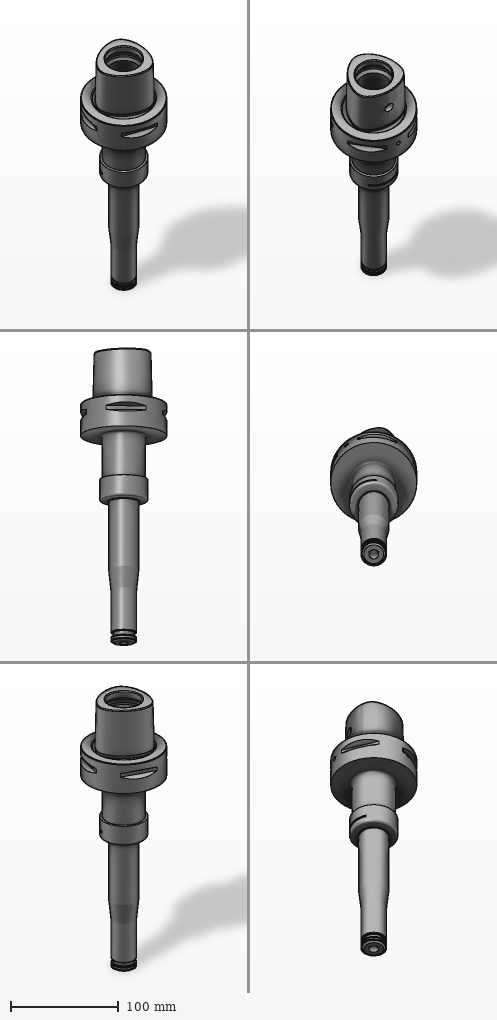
import cadquery as cq
import math

total_height = 275.5
flange_top = 227.5
flange_bottom = 197.5
collar_top = 155.5
collar_bottom = 135.3
cone_top = 70.0
cone_bottom = 50.0
shank_bottom = 9.6
disc_top = 5.8
disc_groove_top = 4.7
disc_groove_bottom = 2.5
disc_bottom = 1.7

flange_radius = 40.0
neck_radius = 40.2 / 2
collar_radius = 45.0 / 2
shaft_radius = 28.0 / 2
shank_radius = 24.0 / 2
tip_neck_radius = 19.5 / 2
tip_end_radius = 18.5 / 2
tip_foot_radius = 21.5 / 2
disc_groove_radius = 23.0 / 2
seat_radius = 29.0 / 2
seat_height = 0.8

small_chamfer = 0.7
neck_fillet = 2.0
collar_fillet = 2.2

recess_radius = 60.5 / 2
recess_depth = 1.0

lobe_height = 1.87
taper_top_radius = 26.5
taper_bottom_radius = 27.5
lobe_half_angle = 25
spline_pieces = 8
taper_bevel_height = 1.0
relief_height = 1.7
relief_inset = 0.4

mouth_radius = 36.6 / 2
bore_radius = 34.7 / 2
mouth_chamfer = mouth_radius - bore_radius
lip_depth = 7.0
groove_radius = 20.7
groove_foot_radius = 19.8
groove_top_depth = lip_depth + groove_radius - bore_radius
groove_wall_end = 13.5
groove_foot_depth = 15.2
groove_end = 16.3
lower_bore_radius = 32.0 / 2
bore_floor = 215.0
counterbore_radius = 19.5 / 2
counterbore_floor = 198.4
through_hole_mouth_radius = 13.0 / 2
through_hole_radius = 9.0 / 2

taper_hole_radius = 9.5 / 2
taper_hole_z = 252.5
taper_flank_distance = (taper_top_radius + taper_bottom_radius) / 2 - lobe_height
gripper_z = 216.0
flange_hole_radius = 4.0 / 2
drill_point_half_angle = 59
taper_hole_depth = 5.5
flange_hole_depth = 2.2

gripper_floor_distance = 70.8 / 2
gripper_floor_width = 3.5
gripper_mouth_width = 8.8
gripper_angles = (45, 135, 225, 315)

mark_z = 143.0
mark_height = 1.7
mark_length = 33.0
mark_depth = 0.3


def turned_body():
    """Flange, neck, collar, shaft and grooved tip as one revolved profile."""
    mid_arc = 1 - math.sqrt(0.5)
    collar_mid = collar_fillet * mid_arc
    neck_mid = neck_fillet * mid_arc
    disc_edge = shank_radius - small_chamfer
    profile = (
        cq.Workplane("XZ")
        .moveTo(0, 0)
        .lineTo(tip_end_radius, 0)
        .lineTo(tip_foot_radius, disc_bottom)
        .lineTo(shank_radius, disc_bottom)
        .lineTo(shank_radius, disc_groove_bottom)
        .lineTo(disc_groove_radius, disc_groove_bottom)
        .lineTo(disc_groove_radius, disc_groove_top)
        .lineTo(shank_radius, disc_groove_top)
        .lineTo(shank_radius, disc_top - small_chamfer)
        .lineTo(disc_edge, disc_top)
        .lineTo(tip_neck_radius, disc_top)
        .lineTo(tip_neck_radius, shank_bottom)
        .lineTo(shank_radius - small_chamfer, shank_bottom)
        .lineTo(shank_radius, shank_bottom + small_chamfer)
        .lineTo(shank_radius, cone_bottom)
        .lineTo(shaft_radius, cone_top)
        .lineTo(shaft_radius, collar_bottom - seat_height)
        .lineTo(seat_radius, collar_bottom - seat_height)
        .lineTo(seat_radius, collar_bottom)
        .lineTo(collar_radius - collar_fillet, collar_bottom)
        .threePointArc(
            (collar_radius - collar_mid, collar_bottom + collar_mid),
            (collar_radius, collar_bottom + collar_fillet),
        )
        .lineTo(collar_radius, collar_top)
        .lineTo(neck_radius, collar_top)
        .lineTo(neck_radius, flange_bottom - neck_fillet)
        .threePointArc(
            (neck_radius + neck_mid, flange_bottom - neck_mid),
            (neck_radius + neck_fillet, flange_bottom),
        )
        .lineTo(flange_radius, flange_bottom)
        .lineTo(flange_radius, flange_top - small_chamfer)
        .lineTo(flange_radius - small_chamfer, flange_top)
        .lineTo(recess_radius, flange_top)
        .lineTo(recess_radius - recess_depth, flange_top - recess_depth)
        .lineTo(0, flange_top - recess_depth)
        .close()
    )
    return profile.revolve(360, (0, 0, 0), (0, 1, 0))


def polygon_point(mean_radius, degrees):
    """Point of the three-lobed curve whose outward normal has this direction."""
    angle = math.radians(degrees)
    support = mean_radius + lobe_height * math.cos(3 * angle)
    slope = -3 * lobe_height * math.sin(3 * angle)
    return (
        support * math.cos(angle) - slope * math.sin(angle),
        support * math.sin(angle) + slope * math.cos(angle),
    )


def polygon_wire(mean_radius, z):
    """Closed three-lobed outline, split where each lobe meets its flanks."""
    edges = []
    for lobe in (0, 120, 240):
        joints = (lobe - lobe_half_angle, lobe + lobe_half_angle, lobe + 120 - lobe_half_angle)
        for start, end in zip(joints, joints[1:]):
            points = [
                cq.Vector(*polygon_point(mean_radius, start + (end - start) * i / spline_pieces), z)
                for i in range(spline_pieces + 1)
            ]
            edges.append(cq.Edge.makeSpline(points))
    return cq.Wire.assembleEdges(edges)


def polygon_frustum(bottom_radius, bottom, top_radius, top):
    wires = [polygon_wire(bottom_radius, bottom), polygon_wire(top_radius, top)]
    return cq.Workplane(cq.Solid.makeLoft(wires, True))


def polygon_taper():
    """Three-lobed taper with a relieved foot and a bevelled top edge."""
    foot_top = flange_top + relief_height
    bevel_start = total_height - taper_bevel_height
    foot_radius = taper_bottom_radius - relief_inset
    foot = polygon_frustum(foot_radius, flange_top - recess_depth, foot_radius, foot_top)
    taper = polygon_frustum(taper_bottom_radius, foot_top, taper_top_radius, bevel_start)
    bevel = polygon_frustum(taper_top_radius, bevel_start, taper_top_radius - small_chamfer, total_height)
    return foot.union(taper).union(bevel)


def stepped_bore():
    """Clamping bore with an inner groove, a counterbore and the through hole."""
    hole_cone = through_hole_mouth_radius - through_hole_radius
    return (
        cq.Workplane("XZ")
        .moveTo(0, total_height)
        .lineTo(mouth_radius, total_height)
        .lineTo(bore_radius, total_height - mouth_chamfer)
        .lineTo(bore_radius, total_height - lip_depth)
        .lineTo(groove_radius, total_height - groove_top_depth)
        .lineTo(groove_radius, total_height - groove_wall_end)
        .lineTo(groove_foot_radius, total_height - groove_foot_depth)
        .lineTo(lower_bore_radius, total_height - groove_end)
        .lineTo(lower_bore_radius, bore_floor)
        .lineTo(counterbore_radius, bore_floor)
        .lineTo(counterbore_radius, counterbore_floor)
        .lineTo(through_hole_mouth_radius, counterbore_floor)
        .lineTo(through_hole_radius, counterbore_floor - hole_cone)
        .lineTo(through_hole_radius, 0)
        .lineTo(0, 0)
        .close()
        .revolve(360, (0, 0, 0), (0, 1, 0))
    )


def blind_hole(radius, surface_distance, depth, z):
    """Drilled hole with a pointed end, sunk along +X into the -X side."""
    point_length = radius / math.tan(math.radians(drill_point_half_angle))
    shoulder = depth - surface_distance
    profile = (
        cq.Workplane("XY", origin=(0, 0, z))
        .moveTo(-flange_radius, 0)
        .lineTo(-flange_radius, radius)
        .lineTo(shoulder, radius)
        .lineTo(shoulder + point_length, 0)
        .close()
    )
    return profile.revolve(360, (0, 0, 0), (1, 0, 0))


def gripper_groove(angle):
    """Straight flat-bottomed V groove across the flange rim."""
    half_floor = gripper_floor_width / 2
    half_mouth = gripper_mouth_width / 2
    return (
        cq.Workplane("XZ")
        .polyline([
            (gripper_floor_distance, gripper_z - half_floor),
            (flange_radius, gripper_z - half_mouth),
            (flange_radius, gripper_z + half_mouth),
            (gripper_floor_distance, gripper_z + half_floor),
        ])
        .close()
        .extrude(flange_radius, both=True)
        .rotate((0, 0, 0), (0, 0, 1), angle)
    )


def collar_mark():
    """Shallow groove with radial ends, following the collar on its -X side."""
    half_angle = math.degrees(math.asin(mark_length / 2 / collar_radius))
    section = (
        cq.Workplane("XZ")
        .center(collar_radius - mark_depth / 2, mark_z)
        .rect(mark_depth, mark_height)
    )
    axis_offset = mark_depth / 2 - collar_radius
    arc_groove = section.revolve(2 * half_angle, (axis_offset, 0, 0), (axis_offset, 1, 0))
    return arc_groove.rotate((0, 0, 0), (0, 0, 1), 180 - half_angle)


result = turned_body().union(polygon_taper()).cut(stepped_bore())
result = result.cut(blind_hole(taper_hole_radius, taper_flank_distance, taper_hole_depth, taper_hole_z))
result = result.cut(blind_hole(flange_hole_radius, flange_radius, flange_hole_depth, gripper_z))
for gripper_angle in gripper_angles:
    result = result.cut(gripper_groove(gripper_angle))
result = result.cut(collar_mark())